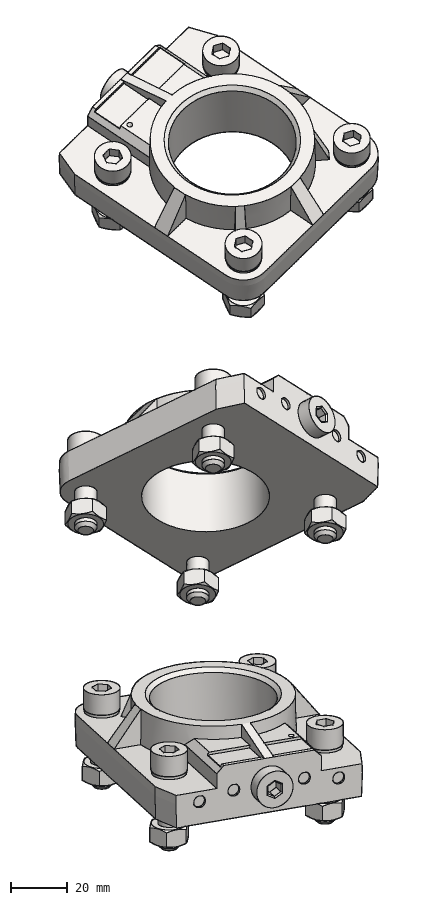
import cadquery as cq
import math

plate_half_width = 39.65
plate_right = 39.6
plate_left = -49.75
plate_top = 12.6
parting_height = 9.2
plate_draft = 2.0
plate_corner_radius = 10.0
corner_cut_length = 10.1
corner_cut_width = 3.7

ring_top = 26.0
ring_top_radius = 29.1
ring_foot_radius = 29.5
bore_diameter = 45.2
bore_chamfer = 1.5

boss_half_width = 20.2
boss_top = 21.0
boss_chamfer = 2.7

label_start = 1.6
label_length = 11.4
label_half_width = 18.2
label_depth = 1.0

rib_top_half = 2.55
rib_foot_half = 3.0
left_rib_top_half = 1.7
left_rib_foot_half = 2.1
diagonal_rib_top_half = 1.6
diagonal_rib_foot_half = 2.0
diagonal_rib_reach = 34.4

plug_diameter = 14.0
plug_length = 5.1
plug_height = 10.8
plug_socket_flats = 5.0
plug_socket_rim_flats = 6.0
plug_socket_depth = 4.7

side_hole_diameter = 4.5
side_hole_depth = 0.9
side_hole_inner_y = 13.6
side_hole_outer_y = 26.8
side_hole_outer_height = 8.6

mark_diameter = 2.0
mark_x = -34.55
mark_y = -15.1

bolt_spacing = 60.0
shank_diameter = 8.0
shank_bottom = -16.3
shank_tip_diameter = 5.6
shank_tip_length = 1.3
washer_diameter = 12.5
head_diameter = 13.0
head_bottom = 13.6
head_height = 8.0
head_edge_chamfer = 0.2
head_socket_flats = 6.0
head_socket_depth = 4.0
nut_flats = 13.0
nut_top = -6.8
nut_height = 6.7
nut_face_diameter = 12.65
nut_chamfer_angle = 30.0


def across_corners(flats):
    return flats / math.cos(math.pi / 6)


def hexagon(flats, height):
    """Hexagonal prism standing on Z = 0, with two corners on the X axis."""
    return cq.Workplane("XY").polygon(6, across_corners(flats)).extrude(height)


def turned(points):
    """Solid of revolution about Z from (radius, height) points."""
    return cq.Workplane("XZ").polyline(points).close().revolve(360, (0, 0), (0, 1))


def drafted_slab(height):
    """Plate outline on Z = 0, narrowing with height; it runs past the left face."""
    overhang = 4.7
    slope = corner_cut_width / corner_cut_length
    end_x = plate_left - overhang
    end_y = plate_half_width - corner_cut_width - overhang * slope
    cut_x = plate_left + corner_cut_length
    arc_x = plate_right - plate_corner_radius
    arc_y = plate_half_width - plate_corner_radius
    return (
        cq.Workplane("XY")
        .moveTo(end_x, -end_y)
        .lineTo(cut_x, -plate_half_width)
        .lineTo(arc_x, -plate_half_width)
        .radiusArc((plate_right, -arc_y), -plate_corner_radius)
        .lineTo(plate_right, arc_y)
        .radiusArc((arc_x, plate_half_width), -plate_corner_radius)
        .lineTo(cut_x, plate_half_width)
        .lineTo(end_x, end_y)
        .close()
        .extrude(height, taper=plate_draft)
    )


def plate():
    upper = drafted_slab(plate_top - parting_height)
    lower = drafted_slab(parting_height).mirror("XY")
    trim = cq.Workplane("XY").box(
        plate_right - plate_left, 2 * plate_half_width, plate_top, centered=(False, True, False)
    ).translate((plate_left, 0, 0))
    return upper.union(lower).translate((0, 0, parting_height)).intersect(trim)


def ring():
    return turned([(0, 0), (ring_foot_radius, 0), (ring_foot_radius, plate_top),
                   (ring_top_radius, ring_top), (0, ring_top)])


def bore():
    radius = bore_diameter / 2
    return turned([(0, 0), (radius, 0), (radius, ring_top - bore_chamfer),
                   (radius + bore_chamfer, ring_top), (0, ring_top)])


def boss():
    shoulder = boss_half_width - boss_chamfer
    body = (
        cq.Workplane("YZ", origin=(plate_left, 0, 0))
        .polyline([(-boss_half_width, 0), (boss_half_width, 0),
                   (boss_half_width, boss_top - boss_chamfer), (shoulder, boss_top),
                   (-shoulder, boss_top), (-boss_half_width, boss_top - boss_chamfer)])
        .close()
        .extrude(-plate_left)
    )
    label = cq.Workplane("XY").box(
        label_length, 2 * label_half_width, label_depth, centered=(False, True, False)
    ).translate((plate_left + label_start, 0, boss_top - label_depth))
    dimple = turned([(0, boss_top), (mark_diameter / 2, boss_top), (0, boss_top - mark_diameter / 2)])
    return body.cut(label).cut(dimple.translate((mark_x, mark_y, 0)))


def rib(angle, reach, end_height, top_half, foot_half):
    """Sloping rib with drafted sides, rooted in the plate and pointing away from the bore at the angle."""
    root = (bore_diameter / 2 + bore_chamfer + ring_top_radius) / 2
    profile = (
        cq.Workplane("XZ")
        .polyline([(root, parting_height), (reach, parting_height), (reach, end_height),
                   (ring_top_radius, ring_top), (root, ring_top)])
        .close()
        .extrude(foot_half, both=True)
    )
    section = (
        cq.Workplane("YZ")
        .polyline([(-foot_half, parting_height), (foot_half, parting_height), (foot_half, plate_top),
                   (top_half, ring_top), (-top_half, ring_top), (-foot_half, plate_top)])
        .close()
        .extrude(reach)
    )
    return profile.intersect(section).rotate((0, 0, 0), (0, 0, 1), angle)


def plug():
    return (
        cq.Workplane("YZ", origin=(plate_left, 0, plug_height))
        .circle(plug_diameter / 2)
        .extrude(-plug_length)
    )


def plug_socket():
    """Hexagonal socket with a flared rim and two corners pointing up and down."""
    rim_depth = (plug_socket_rim_flats - plug_socket_flats) / 2
    rim = (
        cq.Workplane("XY")
        .polygon(6, across_corners(plug_socket_rim_flats))
        .workplane(offset=rim_depth)
        .polygon(6, across_corners(plug_socket_flats))
        .loft(combine=True)
    )
    socket = rim.union(hexagon(plug_socket_flats, plug_socket_depth))
    return socket.rotate((0, 0, 0), (0, 1, 0), 90).translate((plate_left - plug_length, 0, plug_height))


def side_holes():
    centres = []
    for side in (-1, 1):
        centres.append((side * side_hole_inner_y, plug_height))
        centres.append((side * side_hole_outer_y, side_hole_outer_height))
    return (
        cq.Workplane("YZ", origin=(plate_left, 0, 0))
        .pushPoints(centres)
        .circle(side_hole_diameter / 2)
        .extrude(side_hole_depth)
    )


def nut():
    corner_radius = across_corners(nut_flats) / 2
    face_radius = nut_face_diameter / 2
    bevel = (corner_radius - face_radius) * math.tan(math.radians(nut_chamfer_angle))
    envelope = turned([(0, 0), (face_radius, 0), (corner_radius, bevel), (corner_radius, nut_height - bevel),
                       (face_radius, nut_height), (0, nut_height)])
    blank = hexagon(nut_flats, nut_height).rotate((0, 0, 0), (0, 0, 1), 90)
    return blank.intersect(envelope).translate((0, 0, nut_top - nut_height))


def bolt(socket_angle):
    shank_radius = shank_diameter / 2
    washer_radius = washer_diameter / 2
    head_radius = head_diameter / 2
    head_top = head_bottom + head_height
    body = turned([
        (0, shank_bottom),
        (shank_tip_diameter / 2, shank_bottom),
        (shank_radius, shank_bottom + shank_tip_length),
        (shank_radius, plate_top),
        (washer_radius, plate_top),
        (washer_radius, head_bottom),
        (head_radius - head_edge_chamfer, head_bottom),
        (head_radius, head_bottom + head_edge_chamfer),
        (head_radius, head_top),
        (0, head_top),
    ])
    socket = hexagon(head_socket_flats, head_socket_depth).rotate((0, 0, 0), (0, 0, 1), socket_angle)
    return body.cut(socket.translate((0, 0, head_top - head_socket_depth))).union(nut())


side_reach = plate_half_width - (plate_top - parting_height) * math.tan(math.radians(plate_draft))
right_reach = side_reach - plate_half_width + plate_right

result = plate().union(ring()).union(boss())
for angle, reach in ((0, right_reach), (90, side_reach), (270, side_reach)):
    result = result.union(rib(angle, reach, plate_top, rib_top_half, rib_foot_half))
for angle in (45, -45):
    result = result.union(
        rib(angle, diagonal_rib_reach, plate_top, diagonal_rib_top_half, diagonal_rib_foot_half)
    )
result = result.union(rib(180, -plate_left, boss_top, left_rib_top_half, left_rib_foot_half))
result = result.cut(bore())
result = result.union(plug()).cut(plug_socket()).cut(side_holes())

for x_side in (-1, 1):
    for y_side in (-1, 1):
        socket_angle = 90 if (x_side, y_side) == (-1, -1) else 0
        place = (x_side * bolt_spacing / 2, y_side * bolt_spacing / 2, 0)
        result = result.union(bolt(socket_angle).translate(place))